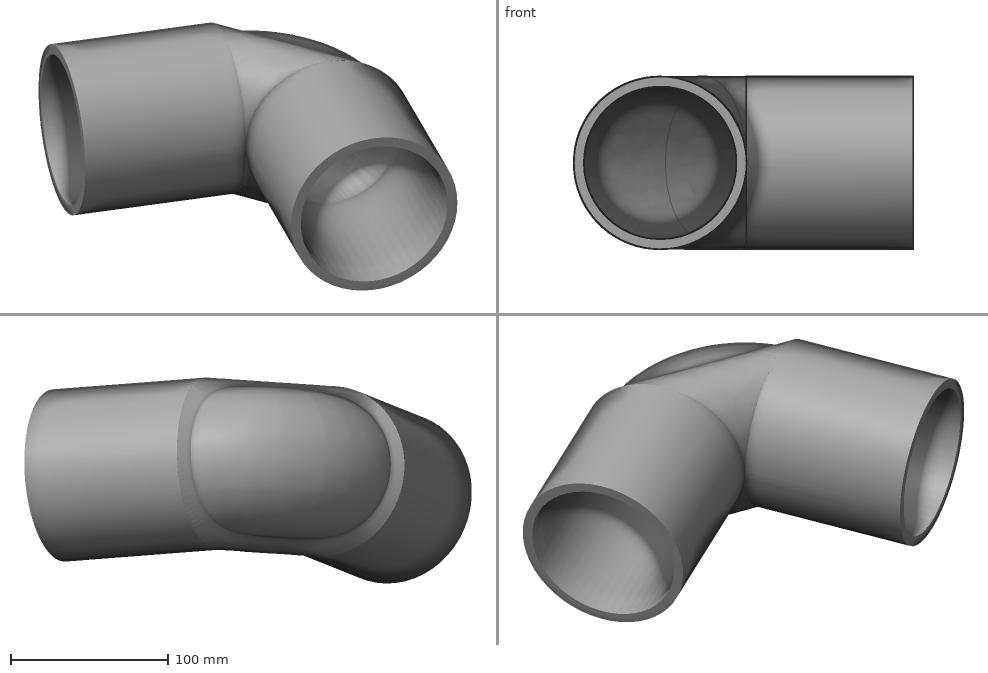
import cadquery as cq
import math

overall_length = 216.0
outer_diameter = 110.0
wall_thickness = 6.5
fusion_overlap = 0.1

outer_radius = outer_diameter / 2
bore_radius = outer_radius - wall_thickness
leg_length = overall_length - outer_diameter


def legs(radius):
    """Two round bars of the given radius along the axes of the pipe legs."""
    bar_length = leg_length + fusion_overlap
    front_leg = (
        cq.Workplane("XZ", origin=(-outer_radius, fusion_overlap, 0)).circle(radius).extrude(bar_length)
    )
    side_leg = (
        cq.Workplane("YZ", origin=(-fusion_overlap, outer_radius, 0)).circle(radius).extrude(bar_length)
    )
    return front_leg, side_leg


def diagonal_passage(radius):
    """Oblique bar joining the inner end circles of both legs along the 45 degree direction."""
    diagonal_plane = cq.Plane(
        origin=(-outer_radius / 2, outer_radius / 2, 0),
        xDir=(-1, 1, 0),
        normal=(1, 1, 0),
    )
    bar = (
        cq.Workplane(diagonal_plane)
        .ellipse(radius / math.sqrt(2), radius)
        .extrude(outer_diameter, both=True)
    )
    quadrant_size = 2 * outer_diameter
    quadrant_center = outer_diameter + fusion_overlap / 2
    elbow_quadrant = (
        cq.Workplane("XY")
        .box(quadrant_size, quadrant_size, quadrant_size)
        .translate((-quadrant_center, quadrant_center, 0))
    )
    return bar.intersect(elbow_quadrant)


def rounded_heel():
    """Quarter torus, as thick as the bore, that bulges from the outside of the bend."""
    return (
        cq.Workplane("XZ")
        .center(-outer_radius, 0)
        .circle(bore_radius)
        .revolve(90, (outer_radius, 0, 0), (outer_radius, -1, 0))
    )


front_leg, side_leg = legs(outer_radius)
body = diagonal_passage(outer_radius).union(rounded_heel()).union(front_leg).union(side_leg)

front_bore, side_bore = legs(bore_radius)
result = body.cut(diagonal_passage(bore_radius)).cut(front_bore).cut(side_bore)